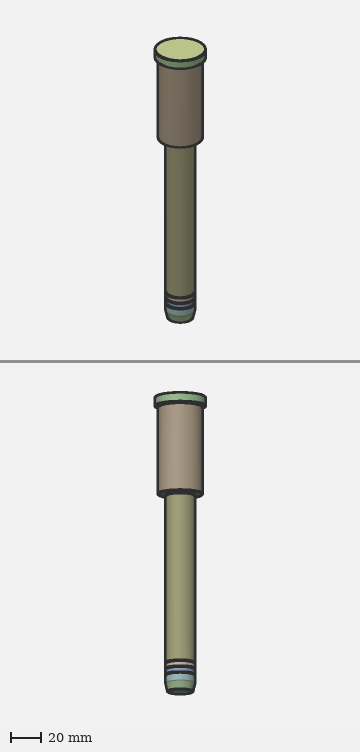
import cadquery as cq

total_length = 200.0
head_diameter = 34.0
shoulder_diameter = 30.0
shaft_diameter = 20.0
tip_diameter = 17.2

head_height = 6.0
shoulder_height = 60.0
tip_height = 6.0

head_chamfer = 0.5
shoulder_chamfer = 0.5
tip_chamfer = 0.5

relief_height = 1.2
head_relief_depth = 0.5
shoulder_relief_depth = 0.5

groove_count = 3
groove_pitch = 4.0
groove_width = 1.0
groove_depth = 0.5
lowest_groove_bottom = 11.0

head_bottom = total_length - head_height
shoulder_bottom = head_bottom - shoulder_height


def cylinder(diameter, bottom, top):
    """Solid cylinder on the Z axis between two heights."""
    return cq.Workplane("XY").workplane(offset=bottom).circle(diameter / 2).extrude(top - bottom)


def square_ring(diameter, bottom, width, depth):
    """Cutting ring that narrows a cylinder over the given width."""
    top = bottom + width
    return cylinder(diameter, bottom, top).cut(cylinder(diameter - 2 * depth, bottom, top))


def v_ring(diameter, bottom, width, depth):
    """Cutting ring that sinks a V-shaped groove into a cylinder."""
    radius = diameter / 2
    corners = [(radius, bottom), (radius - depth, bottom + width / 2), (radius, bottom + width)]
    return cq.Workplane("XZ").polyline(corners).close().revolve(360, (0, 0), (0, 1))


head = cylinder(head_diameter, head_bottom, total_length).faces(">Z").edges().chamfer(head_chamfer)
shoulder = cylinder(shoulder_diameter, shoulder_bottom, head_bottom)
shoulder = shoulder.faces("<Z").edges().chamfer(shoulder_chamfer)
shaft = cylinder(shaft_diameter, tip_height, shoulder_bottom)

tip = (
    cq.Workplane("XY")
    .circle(tip_diameter / 2)
    .workplane(offset=tip_height)
    .circle(shaft_diameter / 2)
    .loft(ruled=True)
    .faces("<Z").edges().chamfer(tip_chamfer)
)

result = head.union(shoulder).union(shaft).union(tip)

head_relief = v_ring(shoulder_diameter, head_bottom - relief_height, relief_height, head_relief_depth)
shoulder_relief = square_ring(
    shaft_diameter, shoulder_bottom - relief_height, relief_height, shoulder_relief_depth
)
result = result.cut(head_relief).cut(shoulder_relief)

for index in range(groove_count):
    groove_bottom = lowest_groove_bottom + index * groove_pitch
    result = result.cut(v_ring(shaft_diameter, groove_bottom, groove_width, groove_depth))